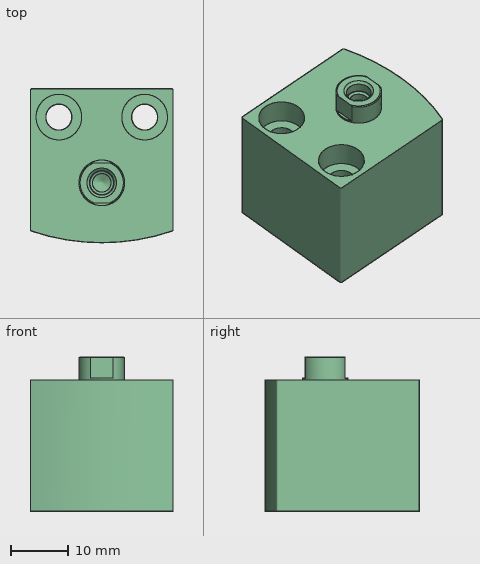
import cadquery as cq
import math


width = 25.0
side_depth = 24.9
total_depth = 27.0
total_height = 27.0
rod_projection = 4.0
housing_height = total_height - rod_projection
corner_radius = 0.3
back_y = 16.5
corner_y = back_y - side_depth
crown_y = back_y - total_depth

mount_spacing = 15.0
mount_y = back_y - 5.0
mount_diameter = 4.5
counterbore_diameter = 8.0
counterbore_depth = 4.6

rod_diameter = 8.0
rod_radius = rod_diameter / 2
rod_insertion = rod_projection
rod_length = rod_projection + rod_insertion
rod_base_z = housing_height - rod_insertion
flat_width = 7.0
collar_height = 0.32
rim_chamfer_radial = 0.22
rim_chamfer_height = 0.1

bore_radius = 4.3 / 2
neck_radius = 4.13 / 2
drill_radius = 3.25 / 2
mouth_chamfer = 0.43
bore_depth = 2.1
drill_length = 1.35
drill_half_angle = math.radians(60)
seat_end_depth = bore_depth + (neck_radius - drill_radius) / math.tan(drill_half_angle)
drill_end_depth = seat_end_depth + drill_length
tip_depth = drill_end_depth + drill_radius / math.tan(drill_half_angle)


def make_housing():
    """Block with a curved front, two mounting holes and a recess for the rod."""
    half_width = width / 2
    block = (
        cq.Workplane("XY")
        .moveTo(-half_width, corner_y)
        .threePointArc((0, crown_y), (half_width, corner_y))
        .lineTo(half_width, back_y)
        .lineTo(-half_width, back_y)
        .close()
        .extrude(housing_height)
        .edges("|Z")
        .fillet(corner_radius)
    )
    top = cq.Workplane("XY", origin=(0, 0, housing_height))
    mount_points = [(side * mount_spacing / 2, mount_y) for side in (-1, 1)]
    through_holes = top.pushPoints(mount_points).circle(mount_diameter / 2).extrude(-housing_height)
    counterbores = top.pushPoints(mount_points).circle(counterbore_diameter / 2).extrude(-counterbore_depth)
    rod_recess = top.circle(rod_radius).extrude(-rod_insertion)
    return block.cut(through_holes).cut(counterbores).cut(rod_recess)


def make_rod_blank():
    """Round rod with a shallow chamfer around its upper rim."""
    return (
        cq.Workplane("XZ")
        .moveTo(0, rod_base_z)
        .lineTo(rod_radius, rod_base_z)
        .lineTo(rod_radius, total_height - rim_chamfer_height)
        .lineTo(rod_radius - rim_chamfer_radial, total_height)
        .lineTo(0, total_height)
        .close()
        .revolve(360, (0, 0, 0), (0, 1, 0))
    )


def make_flat_cutters():
    """Blocks that cut the wrench flats on the front and back of the rod."""
    cut_depth = rod_radius - flat_width / 2
    flat_centre = (rod_radius + flat_width / 2) / 2
    return (
        cq.Workplane("XY", origin=(0, 0, housing_height + collar_height))
        .pushPoints([(0, -flat_centre), (0, flat_centre)])
        .rect(rod_diameter, cut_depth)
        .extrude(rod_projection - collar_height)
    )


def make_rod_hole():
    """Revolved cutter: chamfered mouth, bore, conical seat, drilling and conical tip."""
    profile = [
        (0, 0),
        (bore_radius + mouth_chamfer, 0),
        (bore_radius, mouth_chamfer),
        (bore_radius, bore_depth),
        (neck_radius, bore_depth),
        (drill_radius, seat_end_depth),
        (drill_radius, drill_end_depth),
        (0, tip_depth),
    ]
    return (
        cq.Workplane("XZ")
        .polyline([(radius, total_height - depth) for radius, depth in profile])
        .close()
        .revolve(360, (0, 0, 0), (0, 1, 0))
    )


housing = make_housing()
rod = make_rod_blank().cut(make_flat_cutters()).cut(make_rod_hole())

result = cq.Compound.makeCompound([housing.solids().val(), rod.solids().val()])